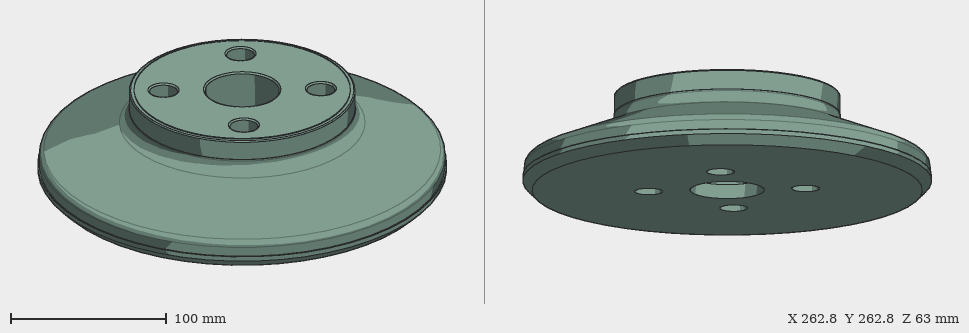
import cadquery as cq
import math

ring_diameter = 262.8
ring_thickness = 9.2
ring_chamfer = 6.0

total_height = 63.0
rim_radius = 261.0 / 2
rim_top = 15.5
rim_fillet = 4.7
shoulder_angle = math.radians(21.8)
neck_radius = 145.5 / 2
neck_fillet = 9.7
flange_radius = 145.0 / 2
flange_bottom = 49.5
flange_chamfer = 0.8
face_radius = 139.0 / 2
face_height = 0.5

bore_diameter = 47.5
bolt_diameter = 18.0
bolt_offset = 35.7
hole_chamfer = 1.0

bolt_points = [(x, y) for x in (-bolt_offset, bolt_offset) for y in (-bolt_offset, bolt_offset)]


def arc_offset(radius, angle):
    """Radial and axial distance along an arc that starts vertical and turns by angle."""
    return radius * (1 - math.cos(angle)), radius * math.sin(angle)


def drill_holes(body):
    """Cut the central bore and the four bolt holes right through a body."""
    bore = cq.Workplane("XY").circle(bore_diameter / 2).extrude(total_height)
    bolts = cq.Workplane("XY").pushPoints(bolt_points).circle(bolt_diameter / 2).extrude(total_height)
    return body.cut(bore).cut(bolts)


def hole_countersink(diameter, x, y):
    """Cone that chamfers the mouth of a hole in the top face."""
    cone = cq.Solid.makeCone(
        diameter / 2,
        diameter / 2 + hole_chamfer,
        hole_chamfer,
        pnt=cq.Vector(x, y, total_height - hole_chamfer),
    )
    return cq.Workplane(obj=cone)


def make_backing_ring():
    plate = cq.Workplane("XY").circle(ring_diameter / 2).extrude(ring_thickness)
    plate = plate.faces("<Z").edges().chamfer(ring_chamfer)
    return drill_holes(plate)


def make_hub():
    turn = math.pi / 2 - shoulder_angle
    rim_run, rim_rise = arc_offset(rim_fillet, turn)
    rim_mid_run, rim_mid_rise = arc_offset(rim_fillet, turn / 2)
    neck_run, neck_rise = arc_offset(neck_fillet, turn)
    neck_mid_run, neck_mid_rise = arc_offset(neck_fillet, turn / 2)

    shoulder_outer = rim_radius - rim_run
    shoulder_inner = neck_radius + neck_run
    shoulder_bottom = rim_top + rim_rise
    shoulder_top = shoulder_bottom + (shoulder_outer - shoulder_inner) * math.tan(shoulder_angle)
    neck_top = shoulder_top + neck_rise
    flange_top = total_height - face_height

    hub = (
        cq.Workplane("XZ")
        .moveTo(0, ring_thickness)
        .lineTo(rim_radius, ring_thickness)
        .lineTo(rim_radius, rim_top)
        .threePointArc(
            (rim_radius - rim_mid_run, rim_top + rim_mid_rise),
            (shoulder_outer, shoulder_bottom),
        )
        .lineTo(shoulder_inner, shoulder_top)
        .threePointArc(
            (neck_radius + neck_mid_run, neck_top - neck_mid_rise),
            (neck_radius, neck_top),
        )
        .lineTo(neck_radius, flange_bottom)
        .lineTo(flange_radius, flange_bottom)
        .lineTo(flange_radius, flange_top - flange_chamfer)
        .lineTo(flange_radius - flange_chamfer, flange_top)
        .lineTo(face_radius, flange_top)
        .lineTo(face_radius, total_height)
        .lineTo(0, total_height)
        .close()
        .revolve(360, (0, 0, 0), (0, 1, 0))
    )
    hub = drill_holes(hub).cut(hole_countersink(bore_diameter, 0, 0))
    for x, y in bolt_points:
        hub = hub.cut(hole_countersink(bolt_diameter, x, y))
    return hub


backing_ring = make_backing_ring()
hub = make_hub()

result = cq.Compound.makeCompound([backing_ring.val(), hub.val()])